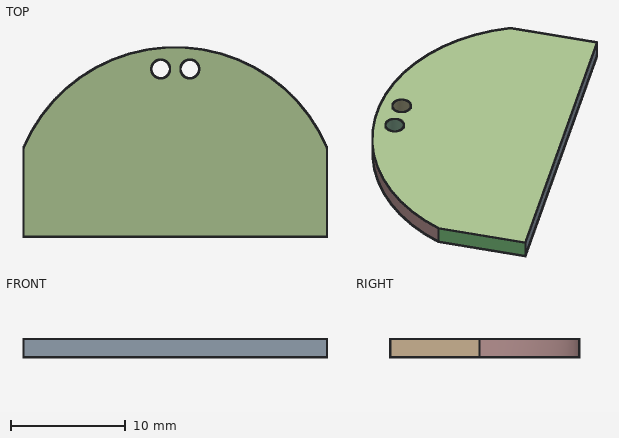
import cadquery as cq

width = 26.42
depth = 16.5
thickness = 1.6
side_height = 7.77

hole_diameter = 1.6
hole_spacing = 2.54
hole_crown_distance = 1.9

half_width = width / 2
hole_y = depth - hole_crown_distance

plate = (
    cq.Workplane("XY")
    .moveTo(-half_width, 0)
    .lineTo(half_width, 0)
    .lineTo(half_width, side_height)
    .threePointArc((0, depth), (-half_width, side_height))
    .close()
    .extrude(thickness)
)

holes = (
    cq.Workplane("XY")
    .pushPoints([(side * hole_spacing / 2, hole_y) for side in (-1, 1)])
    .circle(hole_diameter / 2)
    .extrude(thickness)
)

result = plate.cut(holes)